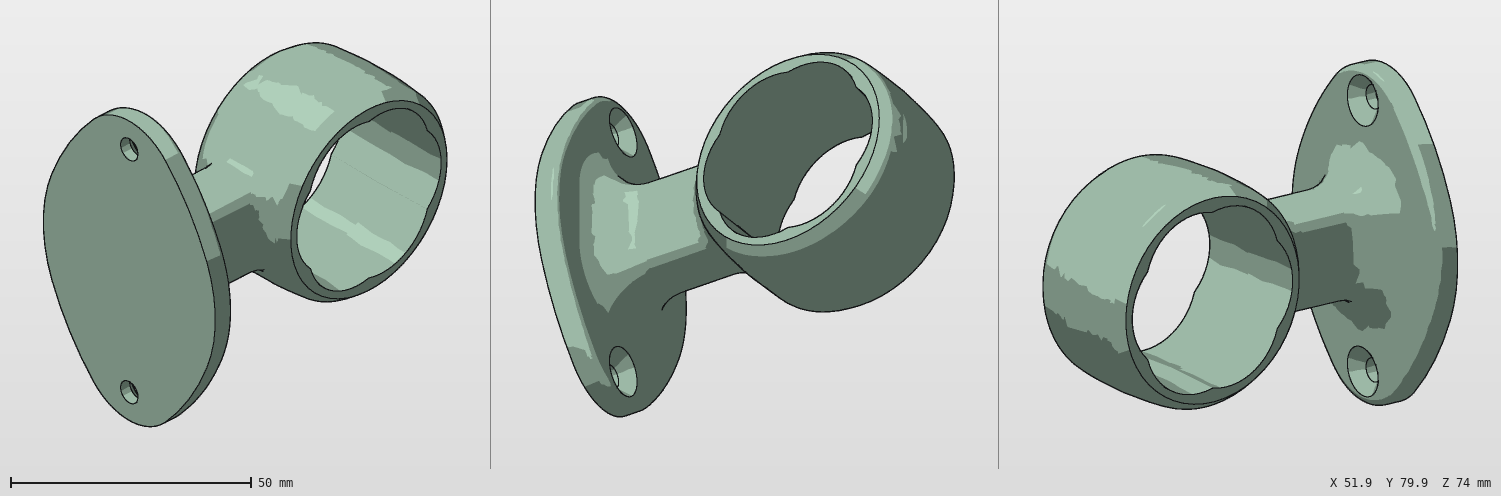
import cadquery as cq
import math

PLATE_WIDTH = 51.93
PLATE_HEIGHT = 74.0
SIDE_RADIUS = 34.5
TIP_RADIUS = 15.0
SHOULDER_RADIUS = 62.0
RIM_THICKNESS = 5.1
RIM_FILLET = 1.4
CROWN_RISE = 1.4
CROWN_TOP_SCALE = 0.15
SCREW_HOLE_DIAMETER = 5.2
SCREW_HOLE_SPACING = 60.0
COUNTERSINK_START = 2.6
COUNTERSINK_ANGLE = 90.0

STEM_WIDTH = 16.0
STEM_HEIGHT = 22.3
STEM_CORNER_RADIUS = 4.5
BASE_FLARE_RADIUS = 10.0
RING_FLARE_RADIUS = 5.0

RING_RADIUS = 25.0
RING_WIDTH = 29.0
RING_CENTER_Y = 54.9
BARREL_RADIUS = 100.0
FACE_RADIUS = 22.4
BEVEL_WIDTH = 2.6
BEVEL_FILLET = 2.0

LOBE_COUNT = 6
LOBE_RADIUS = 13.2
LOBE_OFFSET = 7.0
RIDGE_FILLET = 1.0
BORE_DRAFT = 2.0

EDGE_MARGIN = 0.05
HALF_RING = RING_WIDTH / 2


def tangent_point(center, shoulder_center):
    """Point where an arc about `center` runs smoothly into the shoulder arc."""
    dx = center[0] - shoulder_center[0]
    dz = center[1] - shoulder_center[1]
    stretch = SHOULDER_RADIUS / math.hypot(dx, dz)
    return shoulder_center[0] + dx * stretch, shoulder_center[1] + dz * stretch


def shoulder_junctions():
    """Ends, in the +X +Z quarter, of the shoulder arc tangent to the side and tip arcs."""
    side_center = (PLATE_WIDTH / 2 - SIDE_RADIUS, 0)
    tip_center = (0, PLATE_HEIGHT / 2 - TIP_RADIUS)
    to_side = SHOULDER_RADIUS - SIDE_RADIUS
    to_tip = SHOULDER_RADIUS - TIP_RADIUS
    run_x = tip_center[0] - side_center[0]
    run_z = tip_center[1] - side_center[1]
    distance = math.hypot(run_x, run_z)
    along = (to_side**2 - to_tip**2 + distance**2) / (2 * distance)
    across = math.sqrt(to_side**2 - along**2)
    shoulder_center = (
        side_center[0] + (run_x * along - run_z * across) / distance,
        side_center[1] + (run_z * along + run_x * across) / distance,
    )
    side_end = tangent_point(side_center, shoulder_center)
    tip_end = tangent_point(tip_center, shoulder_center)
    mid_angle = math.atan2(
        (side_end[1] + tip_end[1]) / 2 - shoulder_center[1],
        (side_end[0] + tip_end[0]) / 2 - shoulder_center[0],
    )
    middle = (
        shoulder_center[0] + SHOULDER_RADIUS * math.cos(mid_angle),
        shoulder_center[1] + SHOULDER_RADIUS * math.sin(mid_angle),
    )
    return side_end, middle, tip_end


def plate_outline(workplane, scale=1.0):
    """Add the closed lens outline, optionally scaled about its centre, to an XZ workplane."""
    side, shoulder, tip = shoulder_junctions()
    side_apex = (PLATE_WIDTH / 2, 0)
    tip_apex = (0, PLATE_HEIGHT / 2)

    def point(xz, sign_x, sign_z):
        return sign_x * scale * xz[0], sign_z * scale * xz[1]

    return (
        workplane.moveTo(*point(side, 1, -1))
        .threePointArc(point(side_apex, 1, 1), point(side, 1, 1))
        .threePointArc(point(shoulder, 1, 1), point(tip, 1, 1))
        .threePointArc(point(tip_apex, 1, 1), point(tip, -1, 1))
        .threePointArc(point(shoulder, -1, 1), point(side, -1, 1))
        .threePointArc(point(side_apex, -1, 1), point(side, -1, -1))
        .threePointArc(point(shoulder, -1, -1), point(tip, -1, -1))
        .threePointArc(point(tip_apex, 1, -1), point(tip, 1, -1))
        .threePointArc(point(shoulder, 1, -1), point(side, 1, -1))
        .close()
    )


def make_plate():
    slab = plate_outline(cq.Workplane("XZ")).extrude(-RIM_THICKNESS)
    rim_plane = cq.Workplane("XZ", origin=(0, RIM_THICKNESS, 0))
    crown = plate_outline(rim_plane)
    crown = plate_outline(crown.workplane(offset=-CROWN_RISE), CROWN_TOP_SCALE).loft(ruled=True)
    return slab.union(crown)


def make_stem():
    return (
        cq.Workplane("XZ")
        .rect(STEM_WIDTH, STEM_HEIGHT)
        .extrude(-RING_CENTER_Y)
        .edges("|Y")
        .fillet(STEM_CORNER_RADIUS)
    )


def edges_in_slice(y_min, y_max, half_x, half_z):
    """Selector for edges centred in a box that is symmetric about the Y axis."""
    return cq.selectors.BoxSelector((-half_x, y_min, -half_z), (half_x, y_max, half_z))


def make_base():
    """Plate and stem joined by the base flare, with a rounded rim."""
    base = make_plate().union(make_stem())
    stem_foot = edges_in_slice(
        RIM_THICKNESS + CROWN_RISE / 2, RIM_THICKNESS + CROWN_RISE, STEM_WIDTH, STEM_HEIGHT
    )
    base = base.edges(stem_foot).fillet(BASE_FLARE_RADIUS)
    rim = edges_in_slice(
        RIM_THICKNESS - EDGE_MARGIN, RIM_THICKNESS + EDGE_MARGIN, PLATE_WIDTH, PLATE_HEIGHT
    )
    return base.edges(rim).fillet(RIM_FILLET)


def barrel_height(x):
    """Outer radius of the uncut barrel at distance `x` from the middle of the ring."""
    return RING_RADIUS - BARREL_RADIUS + math.sqrt(BARREL_RADIUS**2 - x**2)


def make_barrel():
    """Solid barrel with bevelled ends; the bore is cut later."""
    bevel_x = HALF_RING - BEVEL_WIDTH
    bevel_y = RING_CENTER_Y + barrel_height(bevel_x)
    face_y = RING_CENTER_Y + FACE_RADIUS
    barrel = (
        cq.Workplane("XY")
        .moveTo(-HALF_RING, RING_CENTER_Y)
        .lineTo(-HALF_RING, face_y)
        .lineTo(-bevel_x, bevel_y)
        .threePointArc((0, RING_CENTER_Y + RING_RADIUS), (bevel_x, bevel_y))
        .lineTo(HALF_RING, face_y)
        .lineTo(HALF_RING, RING_CENTER_Y)
        .close()
        .revolve(360, (0, RING_CENTER_Y, 0), (1, RING_CENTER_Y, 0))
    )
    for side in (-1, 1):
        bevel_edge = cq.selectors.BoxSelector(
            (side * bevel_x - EDGE_MARGIN, RING_CENTER_Y - RING_RADIUS, -RING_RADIUS),
            (side * bevel_x + EDGE_MARGIN, RING_CENTER_Y + RING_RADIUS, RING_RADIUS),
        )
        barrel = barrel.edges(bevel_edge).fillet(BEVEL_FILLET)
    return barrel


def make_bore():
    """Rounded lobe outline that widens from the mid-plane towards both faces."""
    half_pitch = math.pi / LOBE_COUNT
    lobe_peak = LOBE_OFFSET + LOBE_RADIUS
    half_chord = LOBE_OFFSET * math.sin(half_pitch)
    ridge_height = LOBE_OFFSET * math.cos(half_pitch) + math.sqrt(LOBE_RADIUS**2 - half_chord**2)

    def polar(radius, angle):
        return radius * math.cos(angle), radius * math.sin(angle)

    outline = cq.Workplane("YZ", origin=(0, RING_CENTER_Y, 0)).moveTo(*polar(ridge_height, -half_pitch))
    for i in range(LOBE_COUNT):
        peak_angle = 2 * half_pitch * i
        ridge = polar(ridge_height, peak_angle + half_pitch)
        outline = outline.threePointArc(polar(lobe_peak, peak_angle), ridge)
    lobes = outline.close().extrude(HALF_RING)
    prism = lobes.edges("|X").fillet(RIDGE_FILLET)
    throat = prism.faces("<X").wires()
    half = throat.toPending().extrude(HALF_RING, taper=-BORE_DRAFT, combine=False)
    return half.union(half.mirror("YZ"))


def make_screw_holes():
    """Two through holes, countersunk on the stem side of the plate."""
    sink_slope = math.tan(math.radians(COUNTERSINK_ANGLE / 2))
    hole_radius = SCREW_HOLE_DIAMETER / 2
    depth = RIM_THICKNESS + CROWN_RISE
    mouth_radius = hole_radius + (depth - COUNTERSINK_START) * sink_slope
    cutter = (
        cq.Workplane("XY")
        .lineTo(hole_radius, 0)
        .lineTo(hole_radius, COUNTERSINK_START)
        .lineTo(mouth_radius, depth)
        .lineTo(0, depth)
        .close()
        .revolve(360, (0, 0, 0), (0, 1, 0))
    )
    half_spacing = SCREW_HOLE_SPACING / 2
    return cutter.translate((0, 0, half_spacing)).union(cutter.translate((0, 0, -half_spacing)))


def join_ring(base):
    """Add the barrel to the stem and blend the joint."""
    body = base.union(make_barrel())
    stem_head = edges_in_slice(
        RING_CENTER_Y - RING_RADIUS, RING_CENTER_Y - FACE_RADIUS + BEVEL_WIDTH, STEM_WIDTH, STEM_HEIGHT
    )
    return body.edges(stem_head).fillet(RING_FLARE_RADIUS)


result = join_ring(make_base()).cut(make_bore()).cut(make_screw_holes())